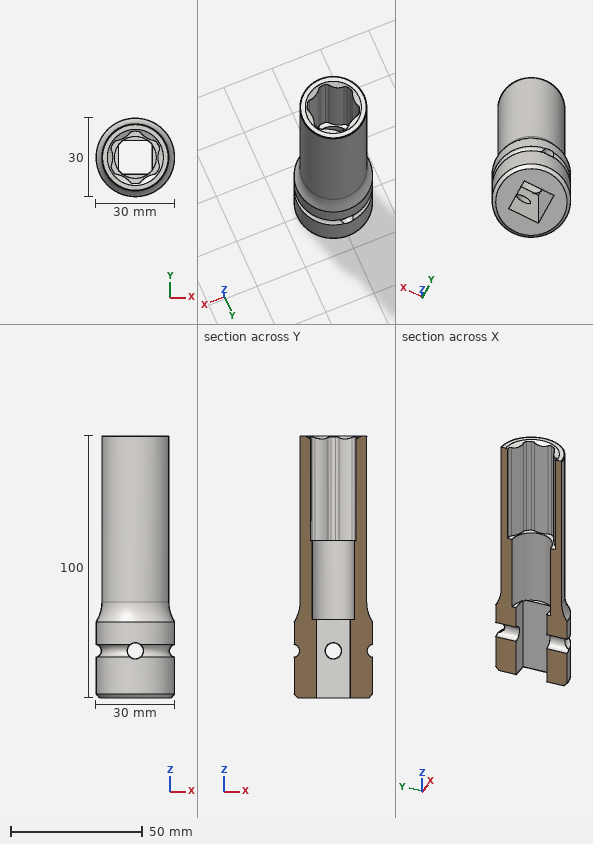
import cadquery as cq
import math

total_length = 100.0
base_radius = 15.0
tube_radius = 12.8
base_chamfer_radial = 1.4
base_chamfer_height = 1.5
rim_chamfer = 0.3
shoulder_bottom = 29.1
shoulder_top = 36.7

pin_height = 18.0
pin_diameter = 6.1
groove_half_width = 2.4
groove_depth = 2.0

drive_side = 12.8
drive_depth = 30.0
bore_radius = 8.0
socket_depth = 40.0
lobe_count = 6
lobe_tip_radius = 10.0
lobe_tip_half_angle = 9.7
lobe_corner_fillet = 1.7
valley_radius = 8.6
entry_radius = 10.7
entry_angle = 30.0


def polar(radius, degrees):
    angle = math.radians(degrees)
    return (radius * math.cos(angle), radius * math.sin(angle))


def make_body():
    groove_bottom = (base_radius - groove_depth, pin_height)
    groove_end = (base_radius, pin_height + groove_half_width)
    flare = base_radius - tube_radius
    rise = shoulder_top - shoulder_bottom
    shoulder_radius = (flare**2 + rise**2) / (2 * flare)
    half_sweep = math.asin(rise / shoulder_radius) / 2
    shoulder_middle = (
        tube_radius + shoulder_radius * (1 - math.cos(half_sweep)),
        shoulder_top - shoulder_radius * math.sin(half_sweep),
    )
    profile = (
        cq.Workplane("XZ")
        .lineTo(base_radius - base_chamfer_radial, 0)
        .lineTo(base_radius, base_chamfer_height)
        .lineTo(base_radius, pin_height - groove_half_width)
        .threePointArc(groove_bottom, groove_end)
        .lineTo(base_radius, shoulder_bottom)
        .threePointArc(shoulder_middle, (tube_radius, shoulder_top))
        .lineTo(tube_radius, total_length - rim_chamfer)
        .lineTo(tube_radius - rim_chamfer, total_length)
        .lineTo(0, total_length)
        .close()
    )
    return profile.revolve(360, (0, 0), (0, 1))


def make_socket():
    pitch = 360 / lobe_count
    first_lobe = 90
    outline = cq.Workplane("XY").workplane(offset=total_length - socket_depth)
    outline = outline.moveTo(*polar(lobe_tip_radius, first_lobe - lobe_tip_half_angle))
    for index in range(lobe_count):
        lobe = first_lobe + index * pitch
        outline = (
            outline.threePointArc(
                polar(lobe_tip_radius, lobe),
                polar(lobe_tip_radius, lobe + lobe_tip_half_angle),
            )
            .threePointArc(
                polar(valley_radius, lobe + pitch / 2),
                polar(lobe_tip_radius, lobe + pitch - lobe_tip_half_angle),
            )
        )
    return outline.close().extrude(socket_depth).edges("|Z").fillet(lobe_corner_fillet)


def make_entry_cone():
    cone_depth = entry_radius * math.tan(math.radians(entry_angle))
    return cq.Solid.makeCone(0, entry_radius, cone_depth, cq.Vector(0, 0, total_length - cone_depth))


bore = cq.Workplane("XY").circle(bore_radius).extrude(total_length - drive_depth)
bore = bore.translate((0, 0, drive_depth))
drive = cq.Workplane("XY").rect(drive_side, drive_side).extrude(drive_depth)
pin_hole = (
    cq.Workplane("XZ")
    .center(0, pin_height)
    .circle(pin_diameter / 2)
    .extrude(base_radius, both=True)
)

result = make_body()
for cutter in (drive, bore, make_socket(), make_entry_cone(), pin_hole):
    result = result.cut(cutter)